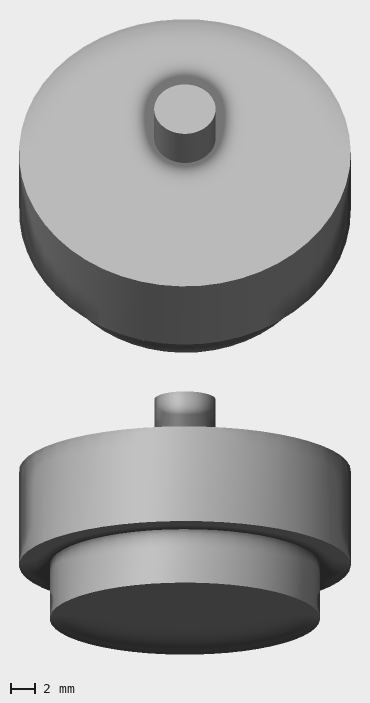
import cadquery as cq

head_diameter = 27.0
head_height = 8.0
spigot_diameter = 22.0
spigot_height = 4.5

pin_diameter = 5.0
pin_height = head_height / 2
pin_gap = pin_height / 2

head_bottom = spigot_height
head_top = head_bottom + head_height
pin_bottom = head_top + pin_gap


def cylinder(diameter, height, bottom):
    """Upright cylinder on the Z axis, starting at the given level."""
    return cq.Workplane("XY").workplane(offset=bottom).circle(diameter / 2).extrude(height)


def make_housing():
    """Stepped round body: the head joined to its spigot."""
    spigot = cylinder(spigot_diameter, spigot_height, 0)
    head = cylinder(head_diameter, head_height, head_bottom)
    return spigot.union(head)


def make_pin():
    """Plain round pin, separated from the head by a gap."""
    return cylinder(pin_diameter, pin_height, pin_bottom)


housing = make_housing()
pin = make_pin()

result = cq.Compound.makeCompound([housing.solids().val(), pin.val()])